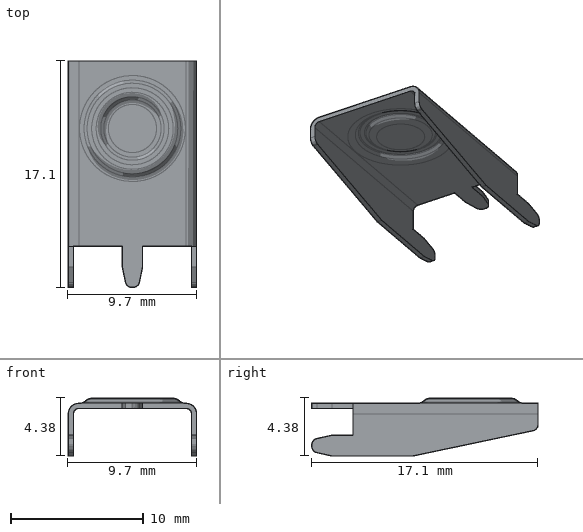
import cadquery as cq
import math

SHEET = 0.4
WIDTH = 9.7
LENGTH = 14.0
HEIGHT = 4.0
BEND_OUTER_RADIUS = 0.8
BEND_INNER_RADIUS = BEND_OUTER_RADIUS - SHEET

WALL_BACK_HEIGHT = 2.0
WALL_SLOPE_LENGTH = 9.5
WALL_CORNER_RADIUS = 0.5

TAB_LENGTH = 3.1
TAB_ROOT_LENGTH = TAB_LENGTH / 2
WALL_TAB_WIDTH = 1.6
DECK_TAB_WIDTH = 1.55
TAB_TIP_WIDTH = 0.9
TAB_TIP_RADIUS = 0.5

BEAD_CENTER_Y = -5.1
BEAD_OUTER_RADIUS = 4.0
BEAD_FLOOR_RADIUS = 1.82
BEAD_HEIGHT = 0.38
BEAD_BEND_RADIUS = 0.6
BEAD_FLANK_ANGLE = math.radians(35)


def arch(width, height, bend_radius):
    """Solid block standing on the bottom plane, with its two long top edges rounded."""
    center_z = height / 2 - HEIGHT
    block = cq.Workplane("XZ").center(0, center_z).rect(width, height).extrude(LENGTH)
    return block.edges("|Y and >Z").fillet(bend_radius)


def channel():
    """Deck and two plain rectangular walls joined by rounded bends."""
    outer = arch(WIDTH, HEIGHT, BEND_OUTER_RADIUS)
    inner = arch(WIDTH - 2 * SHEET, HEIGHT - SHEET, BEND_INNER_RADIUS)
    return outer.cut(inner)


def trim_wall_bottoms(body):
    """Cut the sloping bottom edge of both walls and round their lower back corners."""
    wedge = (
        cq.Workplane("YZ")
        .moveTo(0, -WALL_BACK_HEIGHT)
        .lineTo(0, -HEIGHT)
        .lineTo(-WALL_SLOPE_LENGTH, -HEIGHT)
        .close()
        .extrude(WIDTH / 2, both=True)
    )
    body = body.cut(wedge)
    corners = cq.selectors.BoxSelector(
        (-WIDTH, -SHEET, -WALL_BACK_HEIGHT - SHEET),
        (WIDTH, SHEET, -WALL_BACK_HEIGHT + SHEET),
    )
    return body.edges("|X").edges(corners).fillet(WALL_CORNER_RADIUS)


def flat_tab(width):
    """Tab lying in the deck plane, centred on X = 0, running forward from the front edge."""
    root_end = -LENGTH - TAB_ROOT_LENGTH
    tip = -LENGTH - TAB_LENGTH
    outline = [
        (-width / 2, -LENGTH),
        (-width / 2, root_end),
        (-TAB_TIP_WIDTH / 2, tip),
        (TAB_TIP_WIDTH / 2, tip),
        (width / 2, root_end),
        (width / 2, -LENGTH),
    ]
    tab = cq.Workplane("XY").polyline(outline).close().extrude(-SHEET)
    return tab.faces("<Y").edges("|Z").fillet(TAB_TIP_RADIUS)


def wall_tab(side):
    """A tab stood upright at the bottom of the wall on the given side of X."""
    upright = flat_tab(WALL_TAB_WIDTH).translate((0, 0, SHEET / 2))
    upright = upright.rotate((0, 0, 0), (0, 1, 0), 90)
    wall_center = side * (WIDTH - SHEET) / 2
    return upright.translate((wall_center, 0, -HEIGHT + WALL_TAB_WIDTH / 2))


def bead_block(depth, bottom):
    """Solid ring from the level `bottom` up to the surface lying `depth` below the bead's skin.

    Foot and crest bends keep their centres at every depth, so the sheet
    keeps its thickness all the way across the bead.
    """
    sin_flank = math.sin(BEAD_FLANK_ANGLE)
    cos_flank = math.cos(BEAD_FLANK_ANGLE)
    sin_half = math.sin(BEAD_FLANK_ANGLE / 2)
    cos_half = math.cos(BEAD_FLANK_ANGLE / 2)
    bend_width = BEAD_BEND_RADIUS * sin_flank
    bend_rise = BEAD_BEND_RADIUS * (1 - cos_flank)
    flank_width = (BEAD_HEIGHT - 2 * bend_rise) / math.tan(BEAD_FLANK_ANGLE)
    bead_run = 2 * bend_width + flank_width

    foot_radius = BEAD_BEND_RADIUS + depth
    crest_radius = BEAD_BEND_RADIUS - depth
    foot_center_z = BEAD_BEND_RADIUS
    crest_center_z = BEAD_HEIGHT - BEAD_BEND_RADIUS

    def foot_point(start, direction, sine, cosine):
        return (start + direction * foot_radius * sine, foot_center_z - foot_radius * cosine)

    def crest_point(start, direction, sine, cosine):
        return (start + direction * crest_radius * sine, crest_center_z + crest_radius * cosine)

    inner_foot = BEAD_FLOOR_RADIUS
    inner_crest = BEAD_FLOOR_RADIUS + bead_run
    outer_crest = BEAD_OUTER_RADIUS - bead_run
    outer_foot = BEAD_OUTER_RADIUS
    profile = (
        cq.Workplane("XZ")
        .moveTo(inner_foot, bottom)
        .lineTo(*foot_point(inner_foot, 1, 0, 1))
        .threePointArc(
            foot_point(inner_foot, 1, sin_half, cos_half),
            foot_point(inner_foot, 1, sin_flank, cos_flank),
        )
        .lineTo(*crest_point(inner_crest, -1, sin_flank, cos_flank))
        .threePointArc(
            crest_point(inner_crest, -1, sin_half, cos_half),
            crest_point(inner_crest, -1, 0, 1),
        )
        .lineTo(*crest_point(outer_crest, 1, 0, 1))
        .threePointArc(
            crest_point(outer_crest, 1, sin_half, cos_half),
            crest_point(outer_crest, 1, sin_flank, cos_flank),
        )
        .lineTo(*foot_point(outer_foot, -1, sin_flank, cos_flank))
        .threePointArc(
            foot_point(outer_foot, -1, sin_half, cos_half),
            foot_point(outer_foot, -1, 0, 1),
        )
        .lineTo(outer_foot, bottom)
        .close()
    )
    bead = profile.revolve(360, (0, 0, 0), (0, 1, 0))
    return bead.translate((0, BEAD_CENTER_Y, 0))


def press_bead(body):
    """Raise the ring on top of the deck and hollow it underneath to the sheet thickness."""
    raised = bead_block(0, -SHEET / 2)
    hollow = bead_block(SHEET, -2 * SHEET)
    return body.union(raised).cut(hollow)


result = trim_wall_bottoms(channel())
for tab in (flat_tab(DECK_TAB_WIDTH), wall_tab(-1), wall_tab(1)):
    result = result.union(tab)
result = press_bead(result)